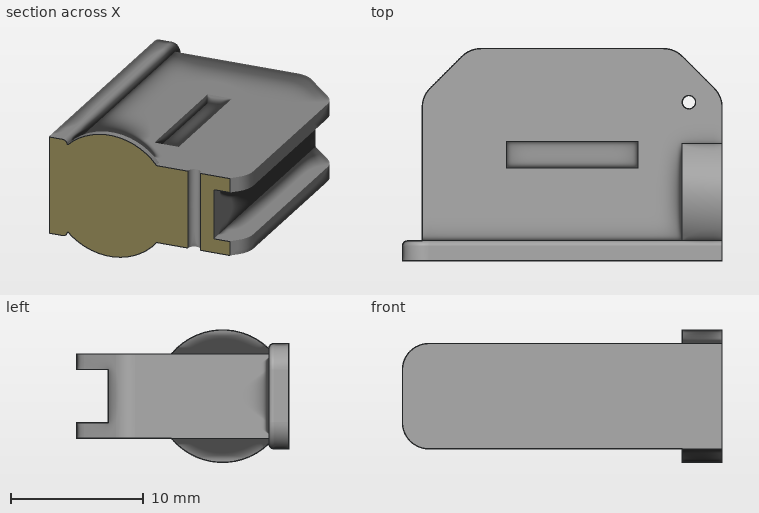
import cadquery as cq

length = 24.1
depth = 16.0

flange_height = 7.95
flange_thickness = 1.52
flange_corner_radius = 2.0
flange_edge_fillet = 0.4

body_left = 1.5
body_height = 6.36
body_chamfer = 3.6
body_corner_radius = 2.0

back_slot_height = 4.0
back_slot_depth = 2.39

wheel_diameter = 10.0
wheel_width = 3.01
wheel_center_y = wheel_diameter / 2

hole_diameter = 1.0
hole_x = length - 2.5
hole_y = 11.95

pocket_length = 9.93
pocket_width = 2.0
pocket_depth = 0.72
pocket_center_x = (body_left + length) / 2
pocket_center_y = 8.0


def make_flange():
    """Plate with two rounded corners and a softened inner edge."""
    plate = cq.Workplane("XY").box(
        length, flange_thickness, flange_height, centered=(False, False, True)
    )
    plate = plate.edges("|Y and <X").fillet(flange_corner_radius)
    return plate.faces(">Y").edges("not(>X)").fillet(flange_edge_fillet)


def make_body():
    """Block with bevelled, rounded back corners and an open back slot."""
    bevel_start = depth - body_chamfer
    body = (
        cq.Workplane("XY")
        .workplane(offset=-body_height / 2)
        .moveTo(body_left, 0)
        .lineTo(length, 0)
        .lineTo(length, bevel_start)
        .lineTo(length - body_chamfer, depth)
        .lineTo(body_left + body_chamfer, depth)
        .lineTo(body_left, bevel_start)
        .close()
        .extrude(body_height)
    )
    body = body.edges("|Z and (not <Y)").fillet(body_corner_radius)
    slot = (
        cq.Workplane("XY")
        .box(length, back_slot_depth, back_slot_height, centered=(False, False, True))
        .translate((body_left, depth - back_slot_depth, 0))
    )
    return body.cut(slot)


def make_wheel():
    """Disc with its axis along X, flush with the square end."""
    return (
        cq.Workplane("YZ", origin=(length - wheel_width, 0, 0))
        .center(wheel_center_y, 0)
        .circle(wheel_diameter / 2)
        .extrude(wheel_width)
    )


def make_pin_hole():
    """Cutter for the hole through the full body height."""
    return (
        cq.Workplane("XY")
        .center(hole_x, hole_y)
        .circle(hole_diameter / 2)
        .extrude(body_height, both=True)
    )


def make_pocket():
    """Cutter for the shallow rectangular pocket."""
    return (
        cq.Workplane("XY", origin=(0, 0, body_height / 2))
        .center(pocket_center_x, pocket_center_y)
        .rect(pocket_length, pocket_width)
        .extrude(-pocket_depth)
    )


result = make_body().union(make_flange()).union(make_wheel())
result = result.cut(make_pin_hole()).cut(make_pocket())